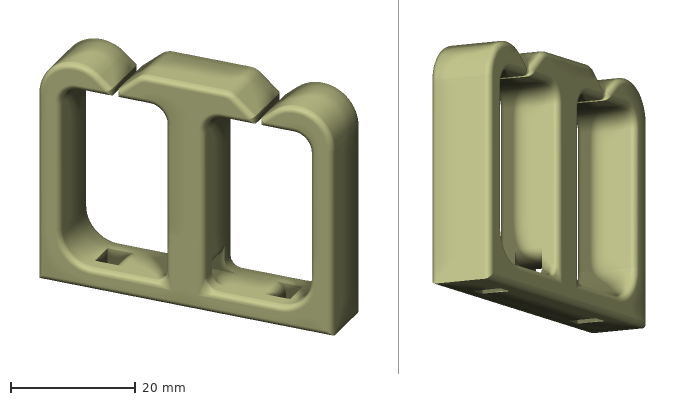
import cadquery as cq
import math

width = 52.0
depth = 11.0
height = 40.15

base_thickness = 3.8
wall_thickness = 4.0
divider_width = 6.8
edge_round = 1.0
joint_z = height / 2

opening_top = 35.2
upper_corner_radius = 3.0
lower_outer_radius = 5.5
lower_inner_radius = 2.2

slope_angle = math.radians(40)
hook_radius = 6.5
hook_center_z = 33.35
head_half_width = 12.1
head_flat_half_width = 6.75
head_corner_radius = 3.0
gap = 1.0

strap_width = 5.0
base_slot_outer_x = 17.2
base_slot_thickness = 3.0
base_slot_round = 2.0
divider_slot_height = 2.5
divider_slot_round = 2.5

half_width = width / 2
half_divider = divider_width / 2
wall_inner_x = half_width - wall_thickness
hook_tip_x = head_half_width + gap
upper_corner_z = opening_top - upper_corner_radius


def arc_point(center, radius, angle):
    """Point on a circle in the XZ plane, with the angle measured from +Z toward +X."""
    return center[0] + radius * math.sin(angle), center[1] + radius * math.cos(angle)


def slope_reach(point):
    """Distance along X over which the slope from point drops to the top of the opening."""
    return (point[1] - opening_top) / math.tan(slope_angle)


def sketch_plane(plate_depth=depth):
    """XZ plane from which an extrusion of plate_depth ends up centred on Y."""
    return cq.Workplane("XZ", origin=(0, plate_depth / 2, 0))


def round_faces(piece):
    """Round the front and back outlines, leaving the cut at the joint level plain."""
    joint = cq.selectors.BoxSelector(
        (-width, -depth, joint_z - edge_round), (width, depth, joint_z + edge_round), boundingbox=True
    )
    return piece.faces("<Y or >Y").edges(cq.selectors.InverseSelector(joint)).fillet(edge_round)


def trim_tip(piece, x_min, x_max):
    """Cut a pointed piece off square between two X limits and round the upright tip edges."""
    trim = (
        cq.Workplane("XY")
        .center((x_min + x_max) / 2, 0)
        .rect(x_max - x_min, depth)
        .extrude(height)
        .edges("|Z")
        .fillet(edge_round)
    )
    return piece.intersect(trim)


def lower_frame():
    """Base, lower side walls and lower divider."""
    plate = cq.Workplane("XY").box(width, depth, joint_z, centered=(True, True, False))
    right_opening = (
        sketch_plane()
        .moveTo(half_divider, joint_z)
        .lineTo(half_divider, base_thickness)
        .lineTo(wall_inner_x - lower_outer_radius, base_thickness)
        .radiusArc((wall_inner_x, base_thickness + lower_outer_radius), -lower_outer_radius)
        .lineTo(wall_inner_x, joint_z)
        .close()
        .extrude(depth)
    )
    frame = plate.cut(right_opening).cut(right_opening.mirror("YZ"))
    frame = round_faces(frame)
    divider_foot = cq.selectors.BoxSelector(
        (-half_divider - edge_round, -depth, base_thickness - edge_round),
        (half_divider + edge_round, depth, base_thickness + edge_round),
    )
    return frame.edges("|Y").edges(divider_foot).fillet(lower_inner_radius)


def hook():
    """Right-hand hook on top of the side wall."""
    center = (half_width - hook_radius, hook_center_z)
    arc_start = arc_point(center, hook_radius, -slope_angle)
    piece = (
        sketch_plane()
        .moveTo(half_width, joint_z)
        .lineTo(half_width, hook_center_z)
        .threePointArc(arc_point(center, hook_radius, 0), arc_start)
        .lineTo(arc_start[0] - slope_reach(arc_start), opening_top)
        .lineTo(wall_inner_x - upper_corner_radius, opening_top)
        .radiusArc((wall_inner_x, upper_corner_z), upper_corner_radius)
        .lineTo(wall_inner_x, joint_z)
        .close()
        .extrude(depth)
    )
    return trim_tip(round_faces(piece), hook_tip_x, half_width)


def head():
    """T-shaped head on top of the divider."""
    center = (head_flat_half_width, height - head_corner_radius)
    arc_end = arc_point(center, head_corner_radius, slope_angle)
    half = (
        sketch_plane()
        .moveTo(0, joint_z)
        .lineTo(0, height)
        .lineTo(head_flat_half_width, height)
        .threePointArc(arc_point(center, head_corner_radius, slope_angle / 2), arc_end)
        .lineTo(arc_end[0] + slope_reach(arc_end), opening_top)
        .lineTo(half_divider + upper_corner_radius, opening_top)
        .radiusArc((half_divider, upper_corner_z), -upper_corner_radius)
        .lineTo(half_divider, joint_z)
        .close()
        .extrude(depth)
    )
    piece = half.union(half.mirror("YZ")).clean()
    return trim_tip(round_faces(piece), -head_half_width, head_half_width)


def divider_slot():
    """Strap passage through the foot of the divider, with its ceiling rounded at both mouths."""
    mouth_x = half_divider + lower_inner_radius
    ceiling_z = base_thickness + divider_slot_height
    mouth_z = ceiling_z + divider_slot_round
    return (
        sketch_plane(strap_width)
        .moveTo(-mouth_x, base_thickness)
        .lineTo(mouth_x, base_thickness)
        .lineTo(mouth_x, mouth_z)
        .lineTo(half_divider, mouth_z)
        .radiusArc((half_divider - divider_slot_round, ceiling_z), divider_slot_round)
        .lineTo(divider_slot_round - half_divider, ceiling_z)
        .radiusArc((-half_divider, mouth_z), divider_slot_round)
        .lineTo(-mouth_x, mouth_z)
        .close()
        .extrude(strap_width)
    )


def base_slot():
    """Strap hole down through the right side of the base, rounded where it meets the floor."""
    inner_x = base_slot_outer_x - base_slot_thickness
    mouth_z = base_thickness + lower_outer_radius
    return (
        sketch_plane(strap_width)
        .moveTo(base_slot_outer_x, 0)
        .lineTo(base_slot_outer_x, mouth_z)
        .lineTo(inner_x - base_slot_round, mouth_z)
        .lineTo(inner_x - base_slot_round, base_thickness)
        .radiusArc((inner_x, base_thickness - base_slot_round), base_slot_round)
        .lineTo(inner_x, 0)
        .close()
        .extrude(strap_width)
    )


right_hook = hook()
right_slot = base_slot()

result = lower_frame().union(right_hook).union(right_hook.mirror("YZ")).union(head()).clean()
result = result.cut(divider_slot()).cut(right_slot).cut(right_slot.mirror("YZ"))